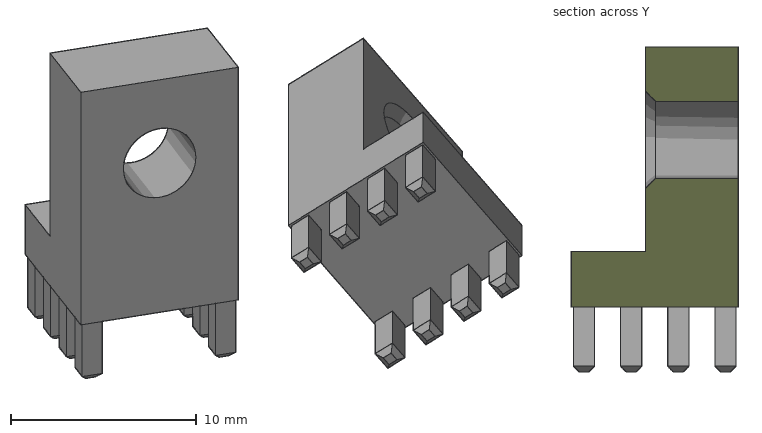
import cadquery as cq

width = 9.0
total_height = 17.5
pin_length = 3.5
body_height = total_height - pin_length

shelf_height = 3.0
wall_thickness = 5.0

hole_diameter = 4.13
countersink_diameter = 5.25
countersink_angle = 90.0
hole_drop_from_top = 5.0
hole_height = body_height - hole_drop_from_top

pin_width = 1.15
pin_pitch = 2.54
pins_per_row = 4
row_count = 2
row_spacing = pin_pitch * (pins_per_row - 1)
tip_chamfer = 0.32


def make_body():
    """L-shaped block: a low shelf on -X and a tall wall on +X."""
    shelf = cq.Workplane("XY").box(width, width, shelf_height, centered=(True, True, False))
    wall = (
        cq.Workplane("XY")
        .center((width - wall_thickness) / 2, 0)
        .box(wall_thickness, width, body_height, centered=(True, True, False))
    )
    return shelf.union(wall)


def drill_wall(body):
    """Hole along X, countersunk on the face above the shelf."""
    wall_face_x = width / 2 - wall_thickness
    face = cq.Plane(origin=(wall_face_x, 0, hole_height), xDir=(0, -1, 0), normal=(-1, 0, 0))
    return body.copyWorkplane(cq.Workplane(face)).cskHole(
        hole_diameter, countersink_diameter, countersink_angle
    )


def add_pins(body):
    """Square pins with bevelled tips."""
    pins = (
        cq.Workplane("XY")
        .rarray(pin_pitch, row_spacing, pins_per_row, row_count)
        .rect(pin_width, pin_width)
        .extrude(-pin_length)
        .faces("<Z")
        .chamfer(tip_chamfer)
    )
    return body.union(pins)


result = add_pins(drill_wall(make_body()))